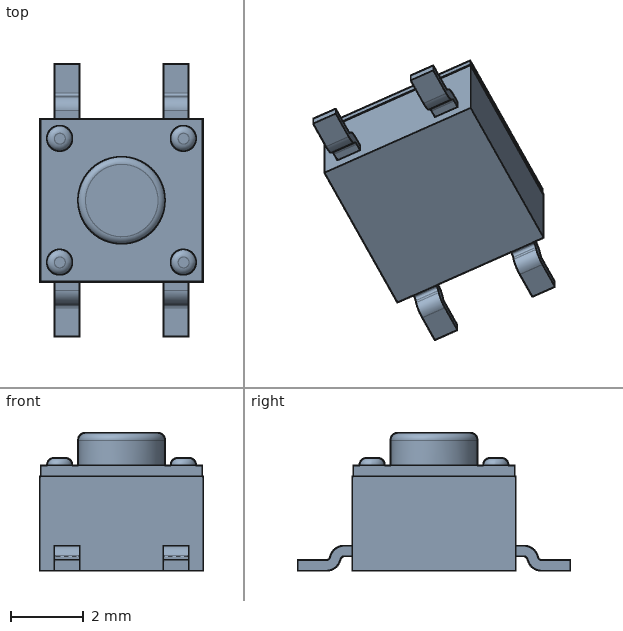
import cadquery as cq
import math

overall_length = 7.5
overall_height = 3.8
body_side = 4.5
body_height = 2.6
cover_thickness = 0.3
cover_inset = 0.02

button_radius = 1.2
button_rounding = 0.2

stud_radius = 0.35
stud_height = 0.21
stud_rounding = 0.2
stud_offset = 1.7

lead_width = 0.7
lead_thickness = 0.3
lead_offset = 1.5
lead_top = 0.7
foot_length = 0.79
bend_inner_radius = 0.1
bend_angle = math.radians(70)
lead_embed = 0.075

cover_top = body_height + cover_thickness


def rounded_disc(x, y, radius, height, rounding):
    """Disc standing on the cover with a rounded top edge."""
    disc = cq.Workplane("XY", origin=(x, y, cover_top)).circle(radius).extrude(height)
    return disc.faces(">Z").edges().fillet(rounding)


def arc_point(center, radius, angle):
    return (center[0] + radius * math.cos(angle), center[1] + radius * math.sin(angle))


def gull_wing_lead(x):
    """S-bent lead on the -Y side, with its foot level with the body underside."""
    outer_radius = bend_inner_radius + lead_thickness
    tip = -overall_length / 2
    root = -body_side / 2 + lead_embed

    arc_radii = bend_inner_radius + outer_radius
    arc_rise = arc_radii * (1 - math.cos(bend_angle))
    slope_length = (lead_top - lead_thickness - arc_rise) / math.sin(bend_angle)
    bend_run = arc_radii * math.sin(bend_angle) + slope_length * math.cos(bend_angle)

    lower_center = (tip + foot_length, outer_radius)
    upper_center = (lower_center[0] + bend_run, lead_top - outer_radius)

    lower_start = -math.pi / 2
    lower_middle = lower_start + bend_angle / 2
    lower_end = lower_start + bend_angle
    upper_start = math.pi / 2
    upper_middle = upper_start + bend_angle / 2
    upper_end = upper_start + bend_angle

    profile = (
        cq.Workplane("YZ", origin=(x - lead_width / 2, 0, 0))
        .moveTo(tip, 0)
        .lineTo(*arc_point(lower_center, outer_radius, lower_start))
        .threePointArc(
            arc_point(lower_center, outer_radius, lower_middle),
            arc_point(lower_center, outer_radius, lower_end),
        )
        .lineTo(*arc_point(upper_center, bend_inner_radius, upper_end))
        .threePointArc(
            arc_point(upper_center, bend_inner_radius, upper_middle),
            arc_point(upper_center, bend_inner_radius, upper_start),
        )
        .lineTo(root, lead_top - lead_thickness)
        .lineTo(root, lead_top)
        .lineTo(*arc_point(upper_center, outer_radius, upper_start))
        .threePointArc(
            arc_point(upper_center, outer_radius, upper_middle),
            arc_point(upper_center, outer_radius, upper_end),
        )
        .lineTo(*arc_point(lower_center, bend_inner_radius, lower_end))
        .threePointArc(
            arc_point(lower_center, bend_inner_radius, lower_middle),
            arc_point(lower_center, bend_inner_radius, lower_start),
        )
        .lineTo(tip, lead_thickness)
        .close()
    )
    return profile.extrude(lead_width)


cover_side = body_side - 2 * cover_inset
result = cq.Workplane("XY").rect(body_side, body_side).extrude(body_height)
cover = cq.Workplane("XY", origin=(0, 0, body_height)).rect(cover_side, cover_side).extrude(cover_thickness)
result = result.union(cover)

button_height = overall_height - cover_top
result = result.union(rounded_disc(0, 0, button_radius, button_height, button_rounding))

for x_side in (-1, 1):
    for y_side in (-1, 1):
        stud = rounded_disc(
            x_side * stud_offset, y_side * stud_offset, stud_radius, stud_height, stud_rounding
        )
        result = result.union(stud)

for x_side in (-1, 1):
    lead = gull_wing_lead(x_side * lead_offset)
    result = result.union(lead).union(lead.mirror("XZ"))